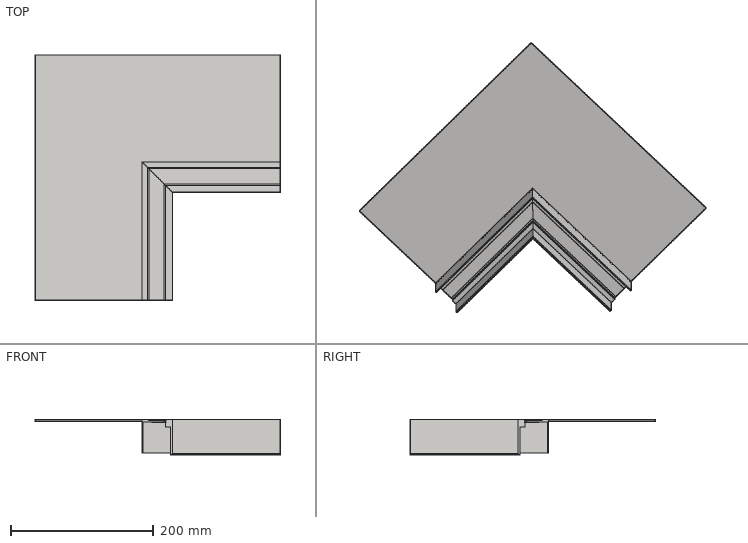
import cadquery as cq


panel_border = 150.0
profile_width = 43.0
overall_size = 344.5
arm_length = overall_size - panel_border
panel_thickness = 3.0

outer_wall_thickness = 1.5
outer_wall_height = 47.5
rim_width = 8.0
step_depth = 1.7
slope_width = 1.8
flange_thickness = 3.5
flange_width = 31.0

inner_height = 50.0
inner_wall_thickness = 3.0
head_width = 9.7
head_depth = 11.0
shelf_thickness = 1.0
shelf_start = 14.0
bottom_chamfer_height = 2.2
bottom_chamfer_depth = 1.5

head_start = profile_width - head_width
inner_wall_start = profile_width - inner_wall_thickness
shelf_bottom = flange_thickness + shelf_thickness


def mitred_arm(section):
    """Run a (u, z) section along -Y from the corner and cut its end on the 45 degree mitre."""
    arm = cq.Workplane("XZ").polyline(section).close().extrude(arm_length)
    corner_waste = (
        cq.Workplane("XY")
        .polyline([(0, 0), (profile_width, 0), (profile_width, -profile_width)])
        .close()
        .extrude(-inner_height)
    )
    return arm.cut(corner_waste)


def other_arm(arm):
    """Reflect an arm running along -Y across the mitre plane, so that it runs along +X."""
    return arm.mirror("YZ").rotate((0, 0, 0), (0, 0, 1), 90)


def make_panel():
    outline = [
        (0, 0),
        (arm_length, 0),
        (arm_length, panel_border),
        (-panel_border, panel_border),
        (-panel_border, -arm_length),
        (0, -arm_length),
    ]
    return cq.Workplane("XY").polyline(outline).close().extrude(-panel_thickness)


def make_outer_profile():
    return mitred_arm([
        (0, 0),
        (rim_width, 0),
        (rim_width + slope_width, -step_depth),
        (flange_width, -step_depth),
        (flange_width, -flange_thickness),
        (outer_wall_thickness, -flange_thickness),
        (outer_wall_thickness, -outer_wall_height),
        (0, -outer_wall_height),
    ])


def make_inner_profile():
    return mitred_arm([
        (head_start, 0),
        (profile_width, 0),
        (profile_width, -inner_height + bottom_chamfer_height),
        (profile_width - bottom_chamfer_depth, -inner_height),
        (inner_wall_start, -inner_height),
        (inner_wall_start, -head_depth),
        (head_start, -head_depth),
        (head_start, -shelf_bottom),
        (shelf_start, -shelf_bottom),
        (shelf_start, -flange_thickness),
        (head_start, -flange_thickness),
    ])


panel = make_panel()
outer_profile = make_outer_profile()
inner_profile = make_inner_profile()

result = cq.Compound.makeCompound([
    panel.val(),
    outer_profile.val(),
    other_arm(outer_profile).val(),
    inner_profile.val(),
    other_arm(inner_profile).val(),
])